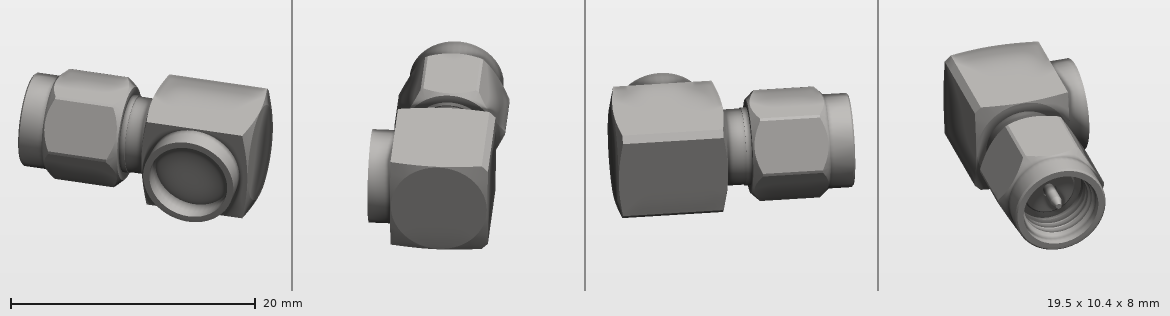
import cadquery as cq

LENGTH = 19.5
BODY_SIZE = 8.0

FERRULE_RADIUS = 3.86
FERRULE_CHAMFER = 0.14
HEX_START = 2.03
HEX_END = 8.4
HEX_CORNER_RADIUS = 4.55
HEX_BEVEL = 0.72
HEX_TURN = 30

COLLAR_RADIUS = 3.2
COLLAR_END = 8.87
NECK_RADIUS = 3.12

BLOCK_START = 10.5
BLOCK_CHAMFER = 0.5
CONE_FACE_RADIUS = 3.94
CONE_OUTER_RADIUS = 5.85
CONE_DEPTH = 0.5
BLOCK_CENTER = (BLOCK_START + LENGTH) / 2

BOSS_RADIUS = 3.82
BOSS_INNER_RADIUS = 3.3
BOSS_END = -5.9

MOUTH_RADIUS = 3.2
MOUTH_DEPTH = 0.8
THREAD_MINOR_RADIUS = 2.79
THREAD_ROOT_RADIUS = 3.15
THREAD_PITCH = 0.7
THREAD_CREST_WIDTH = 0.15
THREAD_ROOT_WIDTH = 0.15
THREAD_OVERLAP = 0.04
THREAD_START = 0.7
THREAD_TURNS = 3.4
CONTACT_DEPTH = 3.41
INSULATOR_RADIUS = 2.22
INSULATOR_HEIGHT = 0.2
INSULATOR_CHAMFER = 0.14
PIN_RADIUS = 0.47
PIN_TIP_RADIUS = 0.23
PIN_START = 0.58
PIN_TAPER = 0.76
PIN_CLEARANCE_RADIUS = 0.6
PIN_CLEARANCE_DEPTH = 0.2


def cylinder_x(start, end, radius):
    """Cylinder on the connector axis between two X positions."""
    return cq.Workplane("YZ").workplane(offset=start).circle(radius).extrude(end - start)


def turned(points):
    """Solid of revolution about X from (x, radius) points."""
    return cq.Workplane("XY").polyline(points).close().revolve(360, (0, 0, 0), (1, 0, 0))


def make_nut():
    ferrule = cylinder_x(0, HEX_END, FERRULE_RADIUS).faces("<X").chamfer(FERRULE_CHAMFER)
    hexagon = (
        cq.Workplane("YZ")
        .workplane(offset=HEX_START)
        .polygon(6, BODY_SIZE, circumscribed=True)
        .extrude(HEX_END - HEX_START)
        .rotate((0, 0, 0), (1, 0, 0), HEX_TURN)
    )
    bevel_envelope = turned(
        [
            (HEX_START, 0),
            (HEX_START, FERRULE_RADIUS),
            (HEX_START + HEX_BEVEL, HEX_CORNER_RADIUS),
            (HEX_END - HEX_BEVEL, HEX_CORNER_RADIUS),
            (HEX_END, FERRULE_RADIUS),
            (HEX_END, 0),
        ]
    )
    return ferrule.union(hexagon.intersect(bevel_envelope))


def make_block():
    length = LENGTH - BLOCK_START
    block = (
        cq.Workplane("XY")
        .box(length, BODY_SIZE, BODY_SIZE)
        .faces(">Y")
        .edges("|X")
        .chamfer(BLOCK_CHAMFER)
        .translate((BLOCK_CENTER, 0, 0))
    )
    cone_envelope = turned(
        [
            (BLOCK_START, 0),
            (BLOCK_START, CONE_FACE_RADIUS),
            (BLOCK_START + CONE_DEPTH, CONE_OUTER_RADIUS),
            (LENGTH - CONE_DEPTH, CONE_OUTER_RADIUS),
            (LENGTH, CONE_FACE_RADIUS),
            (LENGTH, 0),
        ]
    )
    return block.intersect(cone_envelope)


def make_boss():
    face = -BODY_SIZE / 2
    return (
        cq.Workplane("XZ", origin=(BLOCK_CENTER, face, 0))
        .circle(BOSS_RADIUS)
        .circle(BOSS_INNER_RADIUS)
        .extrude(face - BOSS_END)
    )


def make_bore():
    countersink_end = MOUTH_DEPTH + MOUTH_RADIUS - THREAD_MINOR_RADIUS
    return turned(
        [
            (0, 0),
            (0, MOUTH_RADIUS),
            (MOUTH_DEPTH, MOUTH_RADIUS),
            (countersink_end, THREAD_MINOR_RADIUS),
            (CONTACT_DEPTH, THREAD_MINOR_RADIUS),
            (CONTACT_DEPTH, 0),
        ]
    )


def make_thread_groove():
    """Helical groove swept about Z, then laid onto the connector axis."""
    inner_radius = THREAD_MINOR_RADIUS - THREAD_OVERLAP
    mouth_half = (THREAD_PITCH - THREAD_CREST_WIDTH) / 2
    root_half = THREAD_ROOT_WIDTH / 2
    flank_slope = (mouth_half - root_half) / (THREAD_ROOT_RADIUS - THREAD_MINOR_RADIUS)
    inner_half = mouth_half + THREAD_OVERLAP * flank_slope
    path = cq.Wire.makeHelix(THREAD_PITCH, THREAD_PITCH * THREAD_TURNS, THREAD_MINOR_RADIUS)
    groove = (
        cq.Workplane("XZ")
        .polyline(
            [
                (inner_radius, -inner_half),
                (THREAD_ROOT_RADIUS, -root_half),
                (THREAD_ROOT_RADIUS, root_half),
                (inner_radius, inner_half),
            ]
        )
        .close()
        .sweep(cq.Workplane(path), isFrenet=True)
    )
    return groove.rotate((0, 0, 0), (0, 1, 0), 90).translate((THREAD_START, 0, 0))


def make_insulator():
    start = CONTACT_DEPTH - INSULATOR_HEIGHT
    insulator = cylinder_x(start, HEX_END, INSULATOR_RADIUS).faces("<X").chamfer(INSULATOR_CHAMFER)
    clearance = cylinder_x(start, start + PIN_CLEARANCE_DEPTH, PIN_CLEARANCE_RADIUS)
    return insulator.cut(clearance)


def make_pin():
    return turned(
        [
            (PIN_START, 0),
            (PIN_START, PIN_TIP_RADIUS),
            (PIN_START + PIN_TAPER, PIN_RADIUS),
            (HEX_END, PIN_RADIUS),
            (HEX_END, 0),
        ]
    )


collar = cylinder_x(HEX_END, COLLAR_END, COLLAR_RADIUS)
neck = cylinder_x(HEX_END, BLOCK_START, NECK_RADIUS)
result = make_nut().cut(make_bore()).cut(make_thread_groove())
result = result.union(make_insulator()).union(make_pin())
result = result.union(collar).union(neck).union(make_block()).union(make_boss())